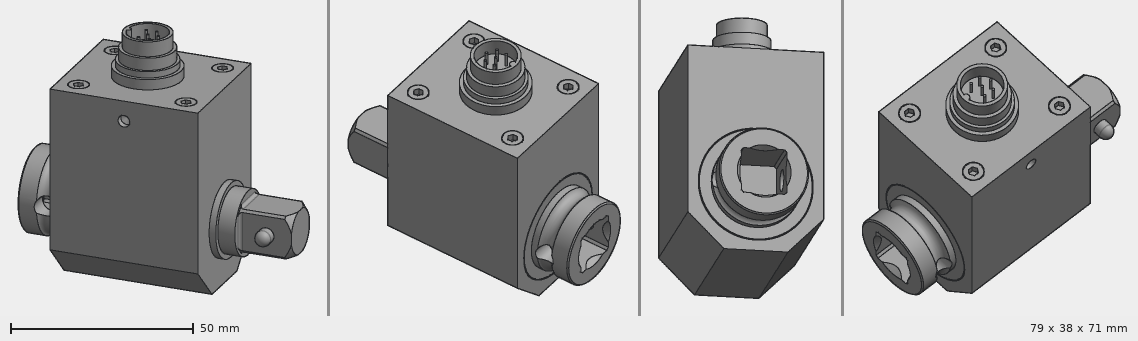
import cadquery as cq
import math


body_length = 44.0
body_width = 38.0
body_height = 58.0
axis_height = 19.0
bottom_chamfer = 10.0
body_end = body_length / 2
body_bottom = -axis_height
body_top = body_height - axis_height

seat_diameter = 32.1
seat_gap = 0.2
seat_gap_depth = 0.5

front_hole_diameter = 3.5
front_hole_drop = 6.0
front_hole_depth = 2.0
front_hole_tip_angle = 118

screw_spacing_x = 32.0
screw_spacing_y = 26.0
screw_head_diameter = 5.8
screw_hole_diameter = 6.0
screw_gap_depth = 0.5
hex_corner_diameter = 2.9
hex_depth = 2.0

square_size = 12.8
square_corner_chamfer = 0.7

socket_diameter = 25.0
socket_length = 12.4
socket_rim_chamfer = 0.4
socket_depth = 15.8
socket_mouth_diameter = 15.0
socket_mouth_half_angle = 30
ring_groove_offset = 8.0
ring_groove_depth = 1.65
ring_groove_radius = 2.5
cross_hole_diameter = 6.0
mouth_x = -body_end - socket_length

collar_diameter = 22.0
collar_length = 2.0
shank_diameter = 19.0
shank_end = 7.0
drive_end = 22.6
drive_root_fillet = 0.95
drive_tip_taper = 2.0
detent_diameter = 4.6
detent_reach = 11.0
detent_offset = 7.5

plug_x = -0.9
plug_steps = [
    (20.0, 3.1),
    (17.8, 5.0),
    (16.0, 8.6),
    (14.0, 13.0),
]
plug_bore_diameter = 11.9
plug_bore_depth = 4.75
plug_key_radius = 1.0
contact_diameter = 0.76
contact_length = 4.0
contact_circle_radius = 3.15
contact_angles = [0, 60, 120, 240, 300]


def rod_x(diameter, x_start, x_end):
    """Cylinder on the shaft axis."""
    return cq.Workplane("YZ", origin=(x_start, 0, 0)).circle(diameter / 2).extrude(x_end - x_start)


def square_bar(x_start, x_end, growth=0):
    """Square bar on the shaft axis; growth moves the flats outward and leaves the corner faces in place."""
    size = square_size + 2 * growth
    bar = cq.Workplane("YZ", origin=(x_start, 0, 0)).rect(size, size).extrude(x_end - x_start)
    return bar.edges("|X").chamfer(square_corner_chamfer + 2 * growth)


def cone_x(start_radius, end_radius, x_start, x_end):
    """Truncated cone on the shaft axis."""
    return cq.Workplane(obj=cq.Solid.makeCone(
        start_radius, end_radius, x_end - x_start, cq.Vector(x_start, 0, 0), cq.Vector(1, 0, 0)))


def make_housing():
    """Block with chamfered lower edges and the shaft seat gap."""
    block = cq.Workplane("XY", origin=(0, 0, body_bottom)).rect(body_length, body_width).extrude(body_height)
    block = block.edges("|X and <Z").chamfer(bottom_chamfer)
    seat_ring = (
        cq.Workplane("YZ", origin=(-body_end, 0, 0))
        .circle(seat_diameter / 2)
        .circle(seat_diameter / 2 - seat_gap)
        .extrude(seat_gap_depth)
    )
    return block.cut(seat_ring)


def make_front_hole():
    """Drilled hole along Y with a conical bottom."""
    radius = front_hole_diameter / 2
    tip_length = radius / math.tan(math.radians(front_hole_tip_angle / 2))
    half_profile = (
        cq.Workplane("XY", origin=(0, -body_width / 2, body_top - front_hole_drop))
        .polyline([(0, 0), (radius, 0), (radius, front_hole_depth), (0, front_hole_depth + tip_length)])
        .close()
    )
    return half_profile.revolve(360, (0, 0, 0), (0, 1, 0))


def make_screw_cuts():
    """Thin gap around each flush screw head, and its hex recess."""
    top = cq.Workplane("XY", origin=(0, 0, body_top)).rarray(screw_spacing_x, screw_spacing_y, 2, 2)
    gaps = top.circle(screw_hole_diameter / 2).extrude(-screw_gap_depth)
    heads = top.circle(screw_head_diameter / 2).extrude(-screw_gap_depth)
    hexes = top.polygon(6, hex_corner_diameter).extrude(-hex_depth)
    return gaps.cut(heads).union(hexes)


def make_socket():
    """Round socket body with a retaining-ring groove and a cross hole."""
    groove_x = mouth_x + ring_groove_offset
    socket = rod_x(socket_diameter, mouth_x, -body_end).faces("<X").edges().chamfer(socket_rim_chamfer)

    groove_centre = socket_diameter / 2 - ring_groove_depth + ring_groove_radius
    groove = cq.Workplane(obj=cq.Solid.makeTorus(
        groove_centre, ring_groove_radius, cq.Vector(groove_x, 0, 0), cq.Vector(1, 0, 0)))
    cross_hole = (
        cq.Workplane("XZ", origin=(groove_x, 0, 0))
        .circle(cross_hole_diameter / 2)
        .extrude(socket_diameter / 2, both=True)
    )
    return socket.cut(groove).cut(cross_hole)


def make_socket_bore():
    """Square hole with a conical lead-in."""
    mouth_radius = socket_mouth_diameter / 2
    cone_end_radius = square_size / 2
    cone_depth = (mouth_radius - cone_end_radius) / math.tan(math.radians(socket_mouth_half_angle))
    lead_in = cone_x(mouth_radius, cone_end_radius, mouth_x, mouth_x + cone_depth)
    return square_bar(mouth_x, mouth_x + socket_depth).union(lead_in)


def make_drive_root(shank_x):
    """Concave fillets between the flats of the drive and the shank face."""
    root = square_bar(shank_x, shank_x + drive_root_fillet, drive_root_fillet)
    cove_offset = square_size / 2 + drive_root_fillet
    cove = (
        cq.Workplane("XZ", origin=(shank_x + drive_root_fillet, 0, cove_offset))
        .circle(drive_root_fillet)
        .extrude(square_size, both=True)
    )
    for angle in (0, 90, 180, 270):
        root = root.cut(cove.rotate((0, 0, 0), (1, 0, 0), angle))
    return root


def make_drive():
    """Collar, shank and square drive with its detent pin."""
    shank_x = body_end + shank_end
    tip_x = body_end + drive_end
    collar = rod_x(collar_diameter, body_end, body_end + collar_length)
    shank = rod_x(shank_diameter, body_end, shank_x)

    corner_radius = (square_size - square_corner_chamfer) / math.sqrt(2)
    taper_x = tip_x - drive_tip_taper
    envelope = rod_x(shank_diameter, shank_x, taper_x).union(
        cone_x(corner_radius, corner_radius - drive_tip_taper, taper_x, tip_x))
    drive = square_bar(shank_x, tip_x).intersect(envelope)

    detent_radius = detent_diameter / 2
    detent_x = tip_x - detent_offset
    ball_y = detent_radius - detent_reach
    pin = cq.Workplane("XZ", origin=(detent_x, 0, 0)).circle(detent_radius).extrude(-ball_y)
    ball = cq.Workplane("XY", origin=(detent_x, ball_y, 0)).sphere(detent_radius)
    detent = pin.union(ball)
    return collar.union(shank).union(drive).union(make_drive_root(shank_x)).union(detent)


def make_plug():
    """Stepped plug with a keyed bore and contact pins standing on the bore floor."""
    plug_top = body_top + plug_steps[-1][1]
    floor_z = plug_top - plug_bore_depth
    base = cq.Workplane("XY", origin=(plug_x, 0, body_top))
    floor = cq.Workplane("XY", origin=(plug_x, 0, floor_z))

    plug = cq.Workplane("XY")
    for diameter, height in plug_steps:
        plug = plug.union(base.circle(diameter / 2).extrude(height))

    bore_radius = plug_bore_diameter / 2
    key = floor.center(-bore_radius, 0).circle(plug_key_radius).extrude(plug_bore_depth)
    bore = floor.circle(bore_radius).extrude(plug_bore_depth).cut(key)

    contact_points = [(0, 0)]
    for angle in contact_angles:
        turn = math.radians(angle)
        contact_x = contact_circle_radius * math.cos(turn)
        contact_y = contact_circle_radius * math.sin(turn)
        contact_points.append((contact_x, contact_y))
    contacts = floor.pushPoints(contact_points).circle(contact_diameter / 2).extrude(contact_length)
    return plug.cut(bore.cut(contacts))


result = (
    make_housing()
    .cut(make_front_hole())
    .cut(make_screw_cuts())
    .union(make_socket())
    .cut(make_socket_bore())
    .union(make_drive())
    .union(make_plug())
)